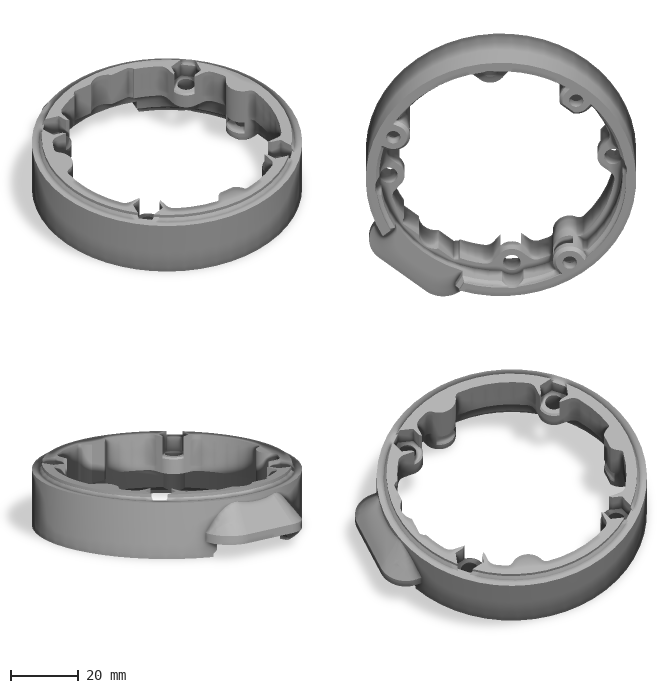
import cadquery as cq
import math

overall_length = 85.86
ring_radius = 40.0
ledge_z = 17.15
total_height = 19.0
lip_radius = 37.05
lip_flare = 0.9
cavity_radius = 36.0
cavity_top = 8.0
flare_size = 1.1
flare_start_z = 1.0
opening_radius = 33.9
cut_margin = 1.0

boss_offset = 23.55
boss_radius = 4.65
boss_floor_z = 13.0
boss_chamfer = 0.5
boss_root_fillet = 3.0
boss_mouth_half_width = 3.1
boss_hole_diameter = 5.2
boss_relief_radius = 4.1
boss_angles = (45, 135, 225, 315)
boss_distance = boss_offset * math.sqrt(2)
boss_hex_radius = 4.5
boss_hex_apothem = boss_hex_radius * math.cos(math.radians(30))

pad_distance = 35.0
lobe_radius = 5.0
lobe_fillet = 1.8
lobe_corner_limit_x = -15.5
tab_fillet = 1.0
lobe_angles = (105, 255)
tab_angle = 0
pad_angles = (tab_angle, *lobe_angles)
pad_root_fillet = 0.9
tab_face_x = 30.65
pad_bottom_chamfer = 0.95
pad_top_chamfer = 0.35
pad_outer_distance = 38.5
nut_floor_z = 3.4
pad_block_z = nut_floor_z - pad_top_chamfer
nut_top_z = 7.2
nut_across_flats = 7.2
nut_hole_diameter = 4.2

flat_recess_x = -33.7
flat_recess_half_width = 9.7
flat_recess_chamfer = 1.0
scallop_center_x = -30.4
scallop_radius = 5.0

hood_bottom_z = 4.9
hood_rim_z = 7.6
hood_top_z = 16.1
hood_front_x = ring_radius - overall_length
hood_half_width = 17.0
hood_corner_radius = 8.0
hood_top_front_x = -39.3
hood_top_half_width = 11.6
hood_top_corner_radius = 4.8
hood_back_x = -35.0
notch_outer_half_width = 13.6
notch_inner_half_width = 12.9
notch_outer_x = -37.6
notch_inner_x = -33.6


def cylinder(radius, z_low, z_high, center=(0, 0)):
    return cq.Workplane("XY", origin=(0, 0, z_low)).center(*center).circle(radius).extrude(z_high - z_low)


def cone(radius_low, radius_high, z_low, z_high):
    rise = z_high - z_low
    profile = cq.Workplane("XY", origin=(0, 0, z_low)).circle(radius_low)
    return profile.workplane(offset=rise).circle(radius_high).loft(ruled=True)


def box(x_low, x_high, half_width, z_low, z_high):
    base = cq.Workplane("XY", origin=((x_low + x_high) / 2, 0, z_low))
    return base.rect(x_high - x_low, 2 * half_width).extrude(z_high - z_low)


def turned(shape, angle):
    return shape.rotate((0, 0, 0), (0, 0, 1), angle)


def fillet_at_radius(solid, wall_radius, fillet_radius, x_range, y_range):
    """Round the upright edges on the round wall that lie inside a plan window."""
    tolerance = 0.01

    def on_wall(edge):
        point = edge.Center()
        in_x = x_range[0] < point.x < x_range[1]
        in_y = y_range[0] < abs(point.y) < y_range[1]
        return in_x and in_y and abs(math.hypot(point.x, point.y) - wall_radius) < tolerance

    corners = [edge for edge in solid.edges("|Z").vals() if on_wall(edge)]
    return solid.newObject(corners).fillet(fillet_radius)


def boss_column(z_low, z_high):
    """Boss with two straight flanks that run parallel to X and Y into the ring wall."""
    reach = ring_radius
    column = cylinder(boss_radius, z_low, z_high, (boss_offset, boss_offset))
    for x_low, y_low in ((boss_offset - boss_radius, boss_offset), (boss_offset, boss_offset - boss_radius)):
        flank = cq.Workplane("XY", origin=(x_low, y_low, z_low))
        column = column.union(flank.rect(reach, reach, centered=False).extrude(z_high - z_low))
    return column


def lobe_prism(z_low, z_high):
    """Lobe lying on +X: a round nose with parallel sides running into the ring wall."""
    sides = box(pad_distance, pad_outer_distance, lobe_radius, z_low, z_high)
    return cylinder(lobe_radius, z_low, z_high, (pad_distance, 0)).union(sides)


def tab_prism(z_low, z_high):
    """Lobe whose nose is cut off flat."""
    flat_side = box(tab_face_x, ring_radius, ring_radius, z_low, z_high)
    return lobe_prism(z_low, z_high).intersect(flat_side)


def upper_opening():
    """Inner opening above the cavity, with bosses, lobes and the tab left standing."""
    low = cavity_top - cut_margin
    high = total_height + cut_margin
    opening = cylinder(opening_radius, low, high)
    for angle in boss_angles:
        opening = opening.cut(turned(boss_column(low, high), angle - boss_angles[0]))
    everywhere = (-ring_radius, ring_radius)
    opening = fillet_at_radius(opening, opening_radius, boss_root_fillet, everywhere, (0, ring_radius))
    for angle in lobe_angles:
        opening = opening.cut(turned(lobe_prism(low, high), angle))
    lobe_x_range = (lobe_corner_limit_x, 0)
    opening = fillet_at_radius(opening, opening_radius, lobe_fillet, lobe_x_range, (boss_offset, ring_radius))
    opening = opening.cut(tab_prism(low, high))
    opening = fillet_at_radius(opening, opening_radius, tab_fillet, (tab_face_x, ring_radius), (0, boss_offset))
    flat_recess = box(flat_recess_x, 0, flat_recess_half_width + flat_recess_chamfer, low, high)
    flat_recess = flat_recess.edges("|Z and <X").chamfer(flat_recess_chamfer)
    scallop = cylinder(scallop_radius, low, high, (scallop_center_x, 0))
    return opening.union(flat_recess).union(scallop).intersect(cylinder(lip_radius, cavity_top, high))


def notch_section(z, growth):
    outer_x = -ring_radius - cut_margin
    slope = (notch_outer_half_width - notch_inner_half_width) / (notch_inner_x - notch_outer_x)
    outer = notch_outer_half_width + slope * (notch_outer_x - outer_x) + growth
    inner = notch_inner_half_width + growth + slope * notch_inner_x
    points = [(outer_x, outer), (0, inner), (0, -inner), (outer_x, -outer)]
    return cq.Workplane("XY", origin=(0, 0, z)).polyline(points).close()


def lower_cavity():
    """Wide cavity below the opening, flared at the bottom, with the notch through the -X wall."""
    flare_end_z = flare_start_z + flare_size
    flare_radius = cavity_radius + flare_size
    cavity = cylinder(cavity_radius, 0, cavity_top)
    for angle in pad_angles:
        cavity = cavity.cut(turned(lobe_prism(0, cavity_top), angle))
    everywhere = (-ring_radius, ring_radius)
    cavity = fillet_at_radius(cavity, cavity_radius, pad_root_fillet, everywhere, (0, ring_radius))
    for angle in pad_angles:
        pad_space = lobe_prism(0, cavity_top).intersect(cylinder(cavity_radius, 0, cavity_top))
        cavity = cavity.union(turned(pad_space, angle))
    cavity = cavity.union(cylinder(flare_radius, 0, flare_start_z))
    cavity = cavity.union(cone(flare_radius, cavity_radius, flare_start_z, flare_end_z))
    cavity = cavity.union(notch_section(0, 0).extrude(hood_bottom_z))
    cavity = cavity.union(notch_section(0, flare_size).extrude(flare_start_z))
    low_wire = notch_section(flare_start_z, flare_size).wires().val()
    high_wire = notch_section(flare_end_z, 0).wires().val()
    notch_flare = cq.Solid.makeLoft([low_wire, high_wire], True)
    cavity = cavity.union(cq.Workplane(notch_flare))
    for angle in boss_angles:
        cavity = cavity.union(turned(cylinder(boss_relief_radius, 0, cavity_top, (boss_distance, 0)), angle))
    return cavity


def pad_base():
    """Lower part of a nut pad on +X, chamfered at its bottom and at the floor of the nut slot."""
    base = lobe_prism(0, nut_floor_z)
    return base.faces("<Z").chamfer(pad_bottom_chamfer).faces(">Z").chamfer(pad_top_chamfer)


def trimmed_pad(base, block):
    """Join base and block, leaving the floor chamfer open only across the mouth of the nut slot."""
    mouth = box(0, pad_distance, nut_across_flats / 2, 0, nut_floor_z)
    return base.union(block.cut(mouth)).intersect(cylinder(pad_outer_distance, 0, cavity_top))


def lobe_pad():
    return trimmed_pad(pad_base(), lobe_prism(pad_block_z, cavity_top))


def tab_pad():
    """Nut pad whose nose is cut off flat, with the same chamfers along the flat face."""
    limit = box(tab_face_x, ring_radius, ring_radius, 0, nut_floor_z)
    limit = limit.faces("<Z").edges("<X").chamfer(pad_bottom_chamfer)
    limit = limit.faces(">Z").edges("<X").chamfer(pad_top_chamfer)
    return trimmed_pad(pad_base().intersect(limit), tab_prism(pad_block_z, cavity_top))


def nut_cut():
    """Side-loaded hexagonal nut slot pointing outward, with a screw hole up from the bottom."""
    depth = nut_top_z - nut_floor_z
    hex_diameter = nut_across_flats / math.cos(math.radians(30))
    slot = cq.Workplane("XY", origin=(pad_distance, 0, nut_floor_z)).polygon(6, hex_diameter).extrude(depth)
    mouth_x = pad_distance - lobe_radius - cut_margin
    slot = slot.union(box(mouth_x, pad_distance, nut_across_flats / 2, nut_floor_z, nut_top_z))
    return slot.union(cylinder(nut_hole_diameter / 2, 0, nut_floor_z, (pad_distance, 0)))


def boss_cut():
    """Cut for a boss on +X: hexagonal seat, open mouth, edge chamfer, lip gap and screw hole."""
    top = total_height + cut_margin
    center = (boss_distance, 0)
    seat = cq.Workplane("XY", origin=(boss_distance, 0, boss_floor_z)).transformed(rotate=(0, 0, 30))
    cut = seat.polygon(6, 2 * boss_hex_radius).extrude(top - boss_floor_z)
    mouth_x = boss_distance - boss_radius - cut_margin
    cut = cut.union(box(mouth_x, boss_distance, boss_mouth_half_width, boss_floor_z, top))
    gap_points = [
        (boss_distance, boss_hex_radius),
        (boss_distance + 2 * boss_hex_apothem, 0),
        (boss_distance, -boss_hex_radius),
    ]
    gap = cq.Workplane("XY", origin=(0, 0, ledge_z)).polyline(gap_points).close().extrude(top - ledge_z)
    chamfer_z = boss_floor_z - boss_chamfer
    chamfered = cone(boss_radius, boss_radius - boss_chamfer, chamfer_z, boss_floor_z)
    chamfer_cut = box(mouth_x, boss_distance, boss_mouth_half_width, chamfer_z, boss_floor_z)
    chamfer_cut = chamfer_cut.cut(chamfered.translate((boss_distance, 0, 0)))
    hole = cylinder(boss_hole_diameter / 2, 0, top, center)
    return cut.union(gap).union(chamfer_cut).union(hole)


def hood_section(z, front_x, half_width, corner_radius):
    corner_x = front_x + corner_radius
    corner_y = half_width - corner_radius
    mid = corner_radius * math.sqrt(0.5)
    section = cq.Workplane("XY", origin=(0, 0, z)).moveTo(hood_back_x, half_width)
    section = section.lineTo(corner_x, half_width)
    section = section.threePointArc((corner_x - mid, corner_y + mid), (front_x, corner_y))
    section = section.lineTo(front_x, -corner_y)
    section = section.threePointArc((corner_x - mid, -corner_y - mid), (corner_x, -half_width))
    return section.lineTo(hood_back_x, -half_width).close()


def cable_hood():
    """Hood on the -X wall: an upright rim with a sloping roof that shrinks toward the ring."""
    rim_shape = (hood_front_x, hood_half_width, hood_corner_radius)
    roof_shape = (hood_top_front_x, hood_top_half_width, hood_top_corner_radius)
    rim = hood_section(hood_bottom_z, *rim_shape).extrude(hood_rim_z - hood_bottom_z)
    low_wire = hood_section(hood_rim_z, *rim_shape).wires().val()
    high_wire = hood_section(hood_top_z, *roof_shape).wires().val()
    roof = cq.Workplane(cq.Solid.makeLoft([low_wire, high_wire], True))
    return rim.union(roof)


def ring_blank():
    lip_base = cone(lip_radius + lip_flare, lip_radius, ledge_z, ledge_z + lip_flare)
    lip = cylinder(lip_radius, ledge_z, total_height)
    return cylinder(ring_radius, 0, ledge_z).union(lip_base).union(lip)


body = ring_blank().union(cable_hood())
body = body.cut(upper_opening()).cut(lower_cavity())
for angle in lobe_angles:
    body = body.union(turned(lobe_pad(), angle))
body = body.union(turned(tab_pad(), tab_angle))
for angle in pad_angles:
    body = body.cut(turned(nut_cut(), angle))
for angle in boss_angles:
    body = body.cut(turned(boss_cut(), angle))
result = body